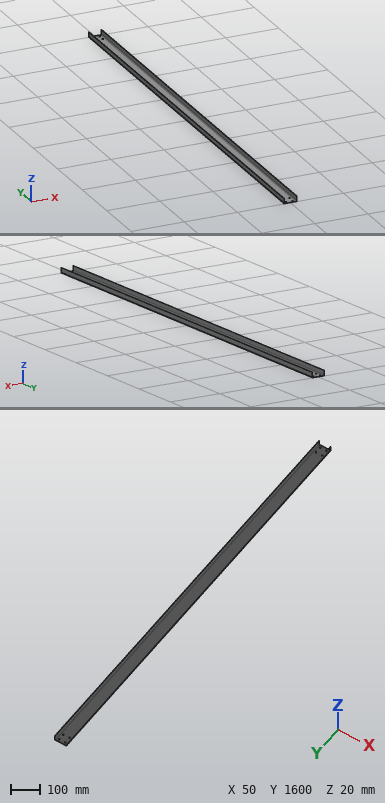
import cadquery as cq

width = 50.0
length = 1600.0
height = 20.0

sheet = 2.0
outer_bend_radius = 3.0
inner_bend_radius = outer_bend_radius - sheet

hole_diameter = 4.2
hole_pitch = 25.4
end_to_first_hole = 10.0


def rounded_bar(bar_width, bottom_z, bottom_radius):
    """Full-length bar from bottom_z to the channel top, with rounded lower edges."""
    return (
        cq.Workplane("XY", origin=(0, 0, bottom_z))
        .box(bar_width, length, height - bottom_z, centered=(True, True, False))
        .edges("|Y and <Z")
        .fillet(bottom_radius)
    )


def channel():
    """U-shaped sheet channel, open upward, running along Y."""
    outer = rounded_bar(width, 0, outer_bend_radius)
    inner = rounded_bar(width - 2 * sheet, sheet, inner_bend_radius)
    return outer.cut(inner)


def hole_group(end):
    """Cutters for the four floor holes at one end: -1 for the -Y end, +1 for the +Y end."""
    group_center_y = end * (length / 2 - end_to_first_hole - hole_pitch / 2)
    return (
        cq.Workplane("XY", origin=(0, group_center_y, 0))
        .rarray(hole_pitch, hole_pitch, 2, 2)
        .circle(hole_diameter / 2)
        .extrude(sheet)
    )


result = channel()
for end in (-1, 1):
    result = result.cut(hole_group(end))